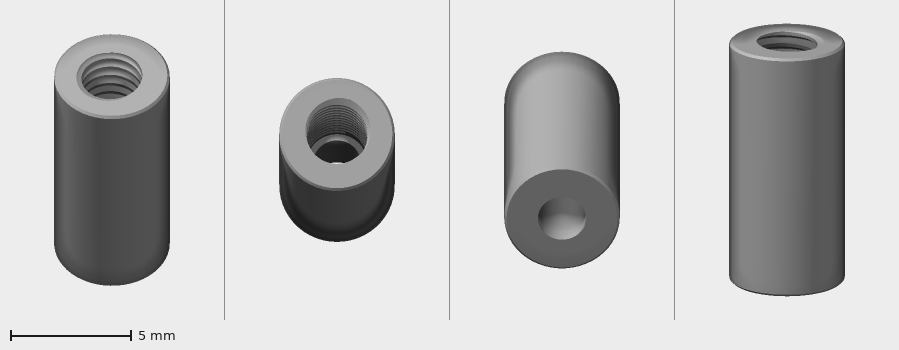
import cadquery as cq
import math

outer_diameter = 4.8
length = 10.4
edge_chamfer = 0.1

through_diameter = 2.0

thread_minor_diameter = 2.53
thread_major_diameter = 3.09
thread_pitch = 0.5
thread_flank_angle = 60.0
thread_root_flat = 0.025
threaded_bore_depth = 6.0
groove_runout = thread_pitch
groove_overrun = thread_pitch
groove_overlap = 0.05
top_groove_direction = 270.0


def make_body():
    return (
        cq.Workplane("XY")
        .circle(outer_diameter / 2)
        .extrude(length)
        .faces("<Z or >Z")
        .edges()
        .chamfer(edge_chamfer)
    )


def cut_stepped_bore(body):
    top = body.faces(">Z").workplane()
    return top.cboreHole(through_diameter, thread_minor_diameter, threaded_bore_depth)


def make_thread_cutter():
    """V-shaped ridge swept along a helix, with its narrow flat at the major diameter."""
    root_radius = thread_major_diameter / 2
    inner_radius = thread_minor_diameter / 2 - groove_overlap
    half_flat = thread_root_flat / 2
    flank_rise = (root_radius - inner_radius) * math.tan(math.radians(thread_flank_angle / 2))
    half_width = half_flat + flank_rise
    start_height = length - threaded_bore_depth + groove_runout
    helix_height = length - start_height + groove_overrun

    helix = cq.Wire.makeHelix(thread_pitch, helix_height, root_radius)
    ridge = (
        cq.Workplane("XZ")
        .moveTo(root_radius, -half_flat)
        .lineTo(root_radius, half_flat)
        .lineTo(inner_radius, half_width)
        .lineTo(inner_radius, -half_width)
        .close()
        .sweep(cq.Workplane(obj=helix), isFrenet=True)
    )
    turns_to_top = (length - start_height) / thread_pitch
    start_direction = top_groove_direction - 360.0 * turns_to_top
    return ridge.rotate((0, 0, 0), (0, 0, 1), start_direction).translate((0, 0, start_height))


result = cut_stepped_bore(make_body()).cut(make_thread_cutter())